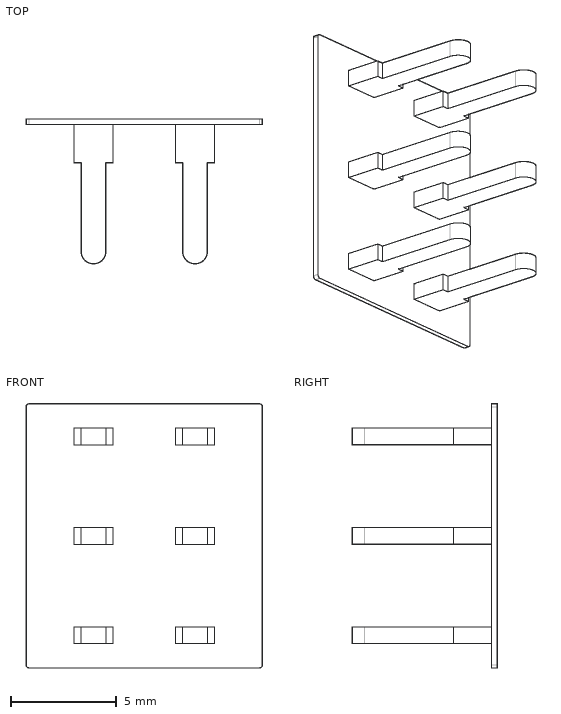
import cadquery as cq

plate_width = 11.18
plate_height = 12.5
plate_thickness = 0.28
plate_corner_radius = 0.15

overall_depth = 6.86
pin_length = overall_depth - plate_thickness
shoulder_width = 1.86
shoulder_length = 1.8
blade_width = 1.18
pin_thickness = 0.8
tip_radius = blade_width / 2

column_count = 2
row_count = 3
column_pitch = 4.8
row_pitch = 4.7


def make_plate():
    """Thin plate with its front face on Y = 0 and rounded corners."""
    return (
        cq.Workplane("XY")
        .box(plate_width, plate_thickness, plate_height)
        .translate((0, plate_thickness / 2, 0))
        .edges("|Y")
        .fillet(plate_corner_radius)
    )


def make_pin():
    """Flat pin: wide shoulder at the plate, narrower blade, round tip."""
    half_shoulder = shoulder_width / 2
    half_blade = blade_width / 2
    tip_start = -(pin_length - tip_radius)
    return (
        cq.Workplane("XY")
        .moveTo(-half_shoulder, 0)
        .lineTo(-half_shoulder, -shoulder_length)
        .lineTo(-half_blade, -shoulder_length)
        .lineTo(-half_blade, tip_start)
        .threePointArc((0, -pin_length), (half_blade, tip_start))
        .lineTo(half_blade, -shoulder_length)
        .lineTo(half_shoulder, -shoulder_length)
        .lineTo(half_shoulder, 0)
        .close()
        .extrude(pin_thickness / 2, both=True)
    )


def add_pins(body):
    """Join the full grid of pins to the plate."""
    pin = make_pin()
    for column in range(column_count):
        x = (column - (column_count - 1) / 2) * column_pitch
        for row in range(row_count):
            z = (row - (row_count - 1) / 2) * row_pitch
            body = body.union(pin.translate((x, 0, z)))
    return body


result = add_pins(make_plate())